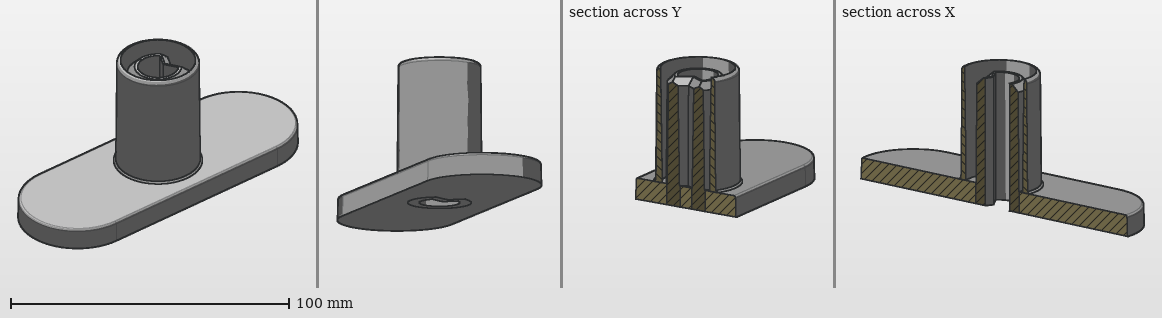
import cadquery as cq
import math

plate_length = 119.1
plate_width = 42.9
plate_thickness = 8.1
plate_edge_radius = 0.8
plate_draft = 1.5

overall_height = 50.7
sleeve_base_radius = 15.2
sleeve_top_radius = 14.9
sleeve_bore_base_radius = 12.9
sleeve_bore_top_radius = 13.5
sleeve_rim_radius = sleeve_top_radius - sleeve_bore_top_radius
foot_flare = 0.7

tube_base_radius = 11.4
tube_shoulder_radius = 11.1
tube_bore_radius = 7.3
tube_height = 48.0
tube_tip_chamfer = 2.6
tube_tip_radius = tube_shoulder_radius - tube_tip_chamfer
tube_shoulder_height = tube_height - tube_tip_chamfer

base_notch_vertex = 6.7
shoulder_notch_vertex = 6.3
tip_notch_vertex = 3.2
bore_notch_vertex = 2.4
notch_flank_angle = math.radians(29)


def notched_circle(plane_height, radius, vertex_y):
    """Circle whose +Y side is cut back to a V pointing at the axis."""
    slope = math.tan(notch_flank_angle)
    a = 1 + slope**2
    half_b = vertex_y * slope
    c = vertex_y**2 - radius**2
    corner_x = (-half_b + math.sqrt(half_b**2 - a * c)) / a
    corner_y = vertex_y + slope * corner_x
    return (
        cq.Workplane("XY", origin=(0, 0, plane_height))
        .moveTo(corner_x, corner_y)
        .lineTo(0, vertex_y)
        .lineTo(-corner_x, corner_y)
        .threePointArc((0, -radius), (corner_x, corner_y))
        .close()
    )


def make_plate():
    """Stadium plate with drafted sides, a rounded top edge, and an opening that fits the notched tube."""
    plate = (
        cq.Workplane("XY")
        .slot2D(plate_length, plate_width, 90)
        .extrude(plate_thickness, taper=plate_draft)
        .faces(">Z")
        .edges()
        .fillet(plate_edge_radius)
    )
    opening = notched_circle(0, tube_base_radius, base_notch_vertex).extrude(plate_thickness)
    return plate.cut(opening)


def make_sleeve():
    """Drafted tube with a flared foot and a rounded rim."""
    flare_top = plate_thickness + foot_flare
    rim_start = overall_height - sleeve_rim_radius
    rim_diagonal = sleeve_rim_radius * math.sqrt(0.5)
    return (
        cq.Workplane("XZ")
        .moveTo(sleeve_bore_base_radius, plate_thickness)
        .lineTo(sleeve_base_radius + foot_flare, plate_thickness)
        .lineTo(sleeve_base_radius, flare_top)
        .lineTo(sleeve_top_radius, rim_start)
        .threePointArc(
            (sleeve_bore_top_radius + rim_diagonal, rim_start + rim_diagonal),
            (sleeve_bore_top_radius, overall_height),
        )
        .close()
        .revolve(360, (0, 0, 0), (0, 1, 0))
    )


def loft_between(lower_outline, upper_outline):
    """Straight-sided solid joining two outlines at different heights."""
    return cq.Workplane(cq.Solid.makeLoft([lower_outline.val(), upper_outline.val()], True))


def make_tube():
    """Notched tube, straight through the plate, drafted above it and chamfered at the tip."""
    foot = notched_circle(0, tube_base_radius, base_notch_vertex).extrude(plate_thickness)
    base_outline = notched_circle(plate_thickness, tube_base_radius, base_notch_vertex)
    shoulder_outline = notched_circle(tube_shoulder_height, tube_shoulder_radius, shoulder_notch_vertex)
    tip_outline = notched_circle(tube_height, tube_tip_radius, tip_notch_vertex)
    shaft = loft_between(base_outline, shoulder_outline)
    tip = loft_between(shoulder_outline, tip_outline)
    bore = notched_circle(0, tube_bore_radius, bore_notch_vertex).extrude(tube_height)
    return foot.union(shaft).union(tip).cut(bore)


plate = make_plate()
sleeve = make_sleeve()
tube = make_tube()

result = cq.Compound.makeCompound([plate.val(), sleeve.val(), tube.val()])